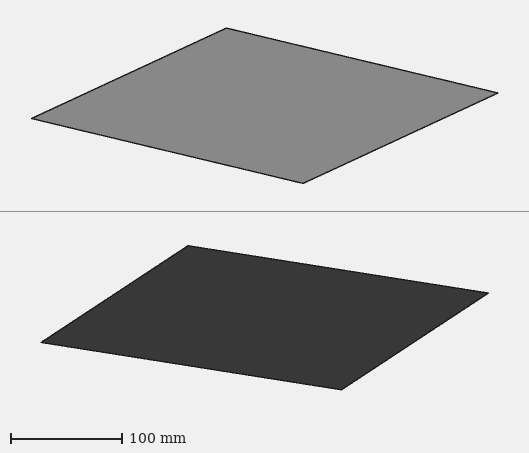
import cadquery as cq

side = 300.0
thickness = 0.2

result = cq.Workplane("XY").box(side, side, thickness)